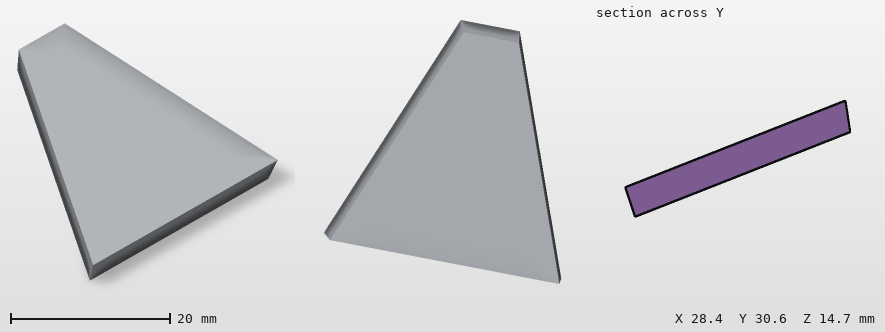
import cadquery as cq
import math

segment_count = 8
width = 30.6
length = 28.38
height = 14.7
inner_lean = 0.6
outer_lean = 1.25
inner_lower_z = 10.68
outer_upper_z = 3.75

half_angle_tan = math.tan(math.pi / segment_count)
outer_x = width / 2 / half_angle_tan
inner_x = outer_x - length


def sloping_plate():
    """Full-width plate with the sloping side profile."""
    profile = [
        (inner_x, inner_lower_z),
        (inner_x + inner_lean, height),
        (outer_x, outer_upper_z),
        (outer_x - outer_lean, 0),
    ]
    return cq.Workplane("XZ").polyline(profile).close().extrude(width / 2, both=True)


def segment_wedge():
    """Upright wedge whose two flanks meet on the ring axis."""
    outline = [(0, 0), (outer_x, -width / 2), (outer_x, width / 2)]
    return cq.Workplane("XY").polyline(outline).close().extrude(height)


result = sloping_plate().intersect(segment_wedge())